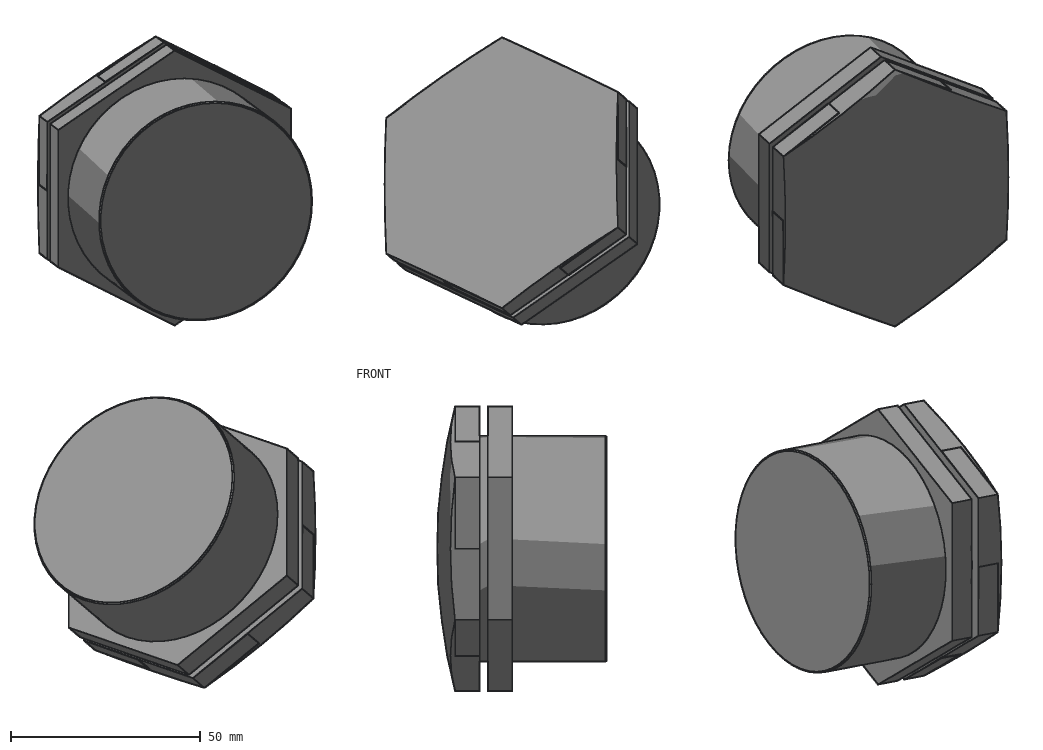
import cadquery as cq
import math

corner_radius = 37.5
face_count = 6
face_angle = 360 / face_count
face_distance = corner_radius * math.cos(math.radians(face_angle / 2))
half_face = corner_radius * math.sin(math.radians(face_angle / 2))

wedge_thickness = 0.15

dome_height = 4.8
flange_width = 6.45
flange_gap = 2.2
cap_back = dome_height + flange_width
collar_front = cap_back + flange_gap
total_length = 44.8

barrel_diameter = 59.6
end_chamfer = 0.4


def hexagon_prism(start, length):
    """Hexagonal prism along X with two faces square to Y."""
    return (
        cq.Workplane("YZ", origin=(start, 0, 0))
        .polygon(face_count, 2 * corner_radius)
        .extrude(length)
        .rotate((0, 0, 0), (1, 0, 0), 90)
    )


def make_domed_cap():
    """Hexagonal head with a spherical front that reaches the six corners."""
    dome_radius = (corner_radius**2 + dome_height**2) / (2 * dome_height)
    dome = cq.Workplane("XY").sphere(dome_radius).translate((dome_radius, 0, 0))
    return hexagon_prism(0, cap_back).intersect(dome)


def make_barrel():
    """Round barrel starting at the back of the cap, chamfered at its far end."""
    return (
        cq.Workplane("YZ", origin=(cap_back, 0, 0))
        .circle(barrel_diameter / 2)
        .extrude(total_length - cap_back)
        .faces(">X")
        .chamfer(end_chamfer)
    )


def make_plug():
    """Domed cap, barrel and hexagonal collar in one piece."""
    collar = hexagon_prism(collar_front, flange_width)
    return make_domed_cap().union(make_barrel()).union(collar)


def make_face_wedge(index):
    """Thin wedge lying on one half of a cap face, from its middle to a corner."""
    outline = [
        (-face_distance, 0),
        (-face_distance - wedge_thickness, 0),
        (-face_distance, half_face),
    ]
    return (
        cq.Workplane("YZ", origin=(dome_height, 0, 0))
        .polyline(outline)
        .close()
        .extrude(flange_width)
        .rotate((0, 0, 0), (1, 0, 0), index * face_angle)
    )


plug = make_plug()
face_wedges = [make_face_wedge(index) for index in range(face_count)]

result = cq.Compound.makeCompound([plug.val(), *[wedge.val() for wedge in face_wedges]])